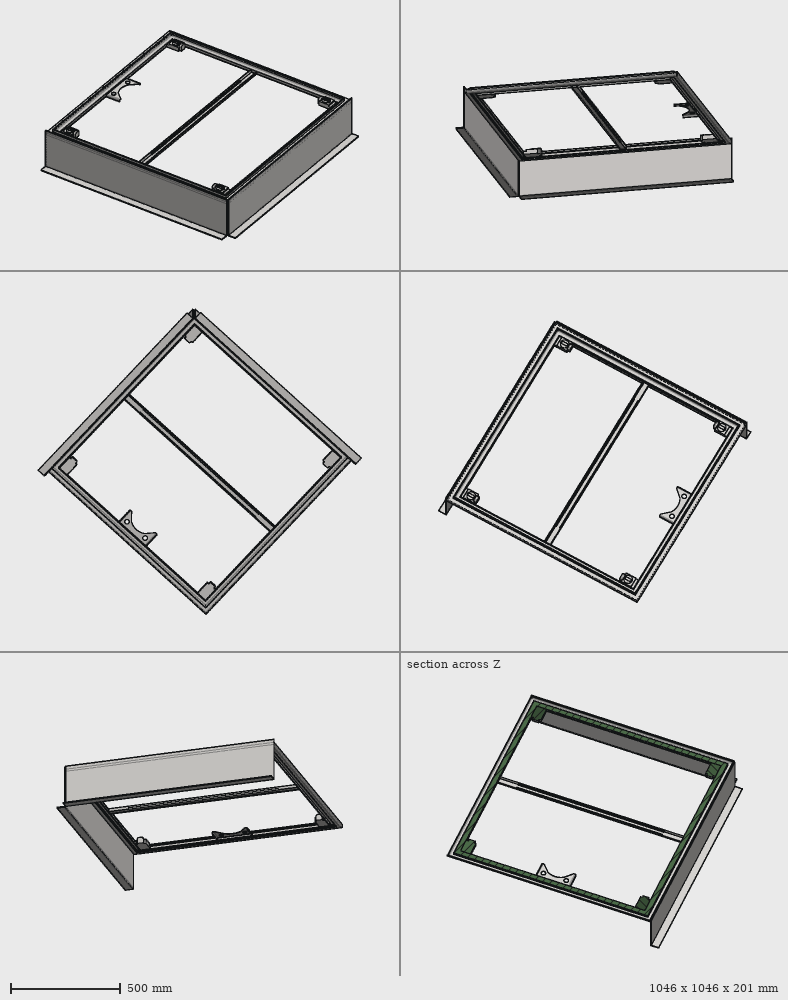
import cadquery as cq
overall = 1046.0
overall_height = 201.0
frame_side = 1006.0
thick_sheet = 5.0
medium_sheet = 4.0
thin_sheet = 3.0

frame_depth = 31.0
frame_width = 48.0
ledge_drop = 12.0
ledge_radius = 2.0
rib_offset = 22.0
rib_thickness = 5.0
strip_drop = 15.0
rib_foot_radius = 2.0
strip_edge_radius = 3.0
rim_bend = 7.0

skirt_length = 1003.0
skirt_bend = 5.0

bar_left = 481.0
bar_width = 36.0
bar_drop = 17.0
bar_flare = 3.0
bar_rib_length = 722.0
bar_rib_spacing = 17.0
bar_rib_drop = 6.0

latch_reach_x = 114.0
latch_reach_y = 96.0
latch_drop = 9.0
latch_shelf_end = 61.0
latch_shelf_drop = 17.0
latch_end_radius = 4.0
latch_disc_x = 89.0
latch_disc_radius = 20.0
latch_disc_height = 3.0
latch_grip_length = 29.0
latch_grip_width = 13.0
latch_grip_height = 3.0
tab_reach = 125.0
tab_width = 30.0
tab_drop = 2.0
tab_corner_radius = 9.0

bracket_length = 171.0
bracket_reach = 122.0
bracket_drop = 20.0
bracket_flange_height = 12.0
bracket_bend = 6.0
bracket_hole_diameter = 21.0
bracket_hole_x = 72.0
bracket_hole_spacing = 113.0
bracket_waist_x = 74.0
bracket_shoulder_x = 86.0
bracket_shoulder_y = 40.0
bracket_tip_y = 73.0

top = overall_height
frame_bottom = top - frame_depth
frame_middle = frame_side / 2
frame_centre = (frame_middle, frame_middle, 0)
flange_reach = overall - frame_side


def block(x_size, y_size, z_size, x_start, y_middle, z_start):
    """Box that starts at x_start and z_start and is centred on y_middle."""
    box = cq.Workplane("XY").box(x_size, y_size, z_size, centered=(False, True, False))
    return box.translate((x_start, y_middle, z_start))


def make_frame():
    """Sheet section with lipped rim, ledge, upright rib, strip and inner wall, swept round a square."""
    ledge = top - ledge_drop
    strip = top - strip_drop
    strip_underside = strip - medium_sheet
    rib_inside = rib_offset + rib_thickness
    wall_outside = frame_width - medium_sheet
    lip_top = frame_bottom + thick_sheet
    section = (
        cq.Workplane("XZ", origin=(0, frame_middle, 0))
        .moveTo(ledge_radius, ledge)
        .lineTo(rib_offset, ledge)
        .lineTo(rib_offset, top)
        .lineTo(rib_inside, top)
        .lineTo(rib_inside, strip + rib_foot_radius)
        .radiusArc((rib_inside + rib_foot_radius, strip), -rib_foot_radius)
        .lineTo(frame_width - strip_edge_radius, strip)
        .radiusArc((frame_width, strip - strip_edge_radius), strip_edge_radius)
        .lineTo(frame_width, frame_bottom)
        .lineTo(wall_outside, frame_bottom)
        .lineTo(wall_outside, strip_underside)
        .lineTo(rib_offset, strip_underside)
        .lineTo(rib_offset, ledge - thick_sheet)
        .lineTo(thick_sheet, ledge - thick_sheet)
        .lineTo(thick_sheet, frame_bottom + rim_bend)
        .radiusArc((rim_bend, lip_top), -(rim_bend - thick_sheet))
        .lineTo(rib_offset, lip_top)
        .lineTo(rib_offset, frame_bottom)
        .lineTo(rim_bend, frame_bottom)
        .radiusArc((0, frame_bottom + rim_bend), rim_bend)
        .lineTo(0, ledge - ledge_radius)
        .radiusArc((ledge_radius, ledge), ledge_radius)
        .close()
    )
    path = (
        cq.Workplane("XY", origin=(0, 0, frame_bottom))
        .moveTo(0, frame_middle)
        .lineTo(0, frame_side)
        .lineTo(frame_side, frame_side)
        .lineTo(frame_side, 0)
        .lineTo(0, 0)
        .close()
    )
    return section.sweep(path, transition="right")


def make_front_skirt():
    """Upright sheet along the -Y side of the frame, bent outwards into a flange at its foot."""
    return (
        cq.Workplane("YZ")
        .moveTo(0, top)
        .lineTo(0, skirt_bend)
        .radiusArc((-skirt_bend, 0), skirt_bend)
        .lineTo(-flange_reach, 0)
        .lineTo(-flange_reach, thick_sheet)
        .lineTo(-thick_sheet, thick_sheet)
        .lineTo(-thick_sheet, top)
        .close()
        .extrude(skirt_length)
    )


def make_right_skirt():
    """The same skirt turned onto the +X side, flush with the far (+Y) edge of the frame."""
    turned = make_front_skirt().rotate((0, 0, 0), (0, 0, 1), 90)
    return turned.translate((frame_side, frame_side - skirt_length, 0))


def make_cross_bar():
    """Trough between the inner walls: flared sides, and two floor ribs along the middle stretch."""
    bar_top = top - bar_drop
    floor = frame_bottom + thin_sheet
    middle_x = bar_left + bar_width / 2
    outer_half = bar_width / 2
    inner_half = outer_half - thin_sheet
    bar_length = frame_side - 2 * frame_width
    along_y = cq.Workplane("XZ", origin=(middle_x, frame_middle, 0))

    trough = (
        along_y.moveTo(-outer_half, bar_top)
        .lineTo(-inner_half, bar_top)
        .lineTo(bar_flare - inner_half, floor)
        .lineTo(inner_half - bar_flare, floor)
        .lineTo(inner_half, bar_top)
        .lineTo(outer_half, bar_top)
        .lineTo(outer_half - bar_flare, frame_bottom)
        .lineTo(bar_flare - outer_half, frame_bottom)
        .close()
        .extrude(bar_length / 2, both=True)
    )

    rib_top = bar_top - bar_rib_drop
    rib_inside = bar_rib_spacing / 2
    rib_outside = outer_half - bar_flare
    for side in (-1, 1):
        rib = (
            along_y.moveTo(side * rib_inside, frame_bottom)
            .lineTo(side * rib_inside, rib_top)
            .lineTo(side * rib_outside, rib_top)
            .lineTo(side * rib_outside, frame_bottom)
            .close()
            .extrude(bar_rib_length / 2, both=True)
        )
        trough = trough.union(rib)
    return trough


def make_latch():
    """Latch in the -X, -Y corner: case with a low shelf, disc with a grip, and an upright end tab."""
    case_length = latch_reach_x - latch_shelf_end
    shelf_length = latch_shelf_end - frame_width
    case_width = latch_reach_y - frame_width
    case_top = top - latch_drop
    middle_y = frame_width + case_width / 2

    case = block(
        case_length, case_width, frame_depth - latch_drop, latch_shelf_end, middle_y, frame_bottom
    )
    case = case.edges(">X and >Z").fillet(latch_end_radius)

    shelf = block(
        shelf_length, case_width, frame_depth - latch_shelf_drop, frame_width, middle_y, frame_bottom
    )

    disc = cq.Workplane("XY", origin=(latch_disc_x, middle_y, case_top))
    disc = disc.circle(latch_disc_radius).extrude(latch_disc_height)

    grip_left = latch_disc_x - latch_grip_length / 2
    grip = block(
        latch_grip_length,
        latch_grip_width,
        latch_grip_height,
        grip_left,
        middle_y,
        case_top + latch_disc_height,
    )

    tab_length = tab_reach - latch_reach_x + latch_end_radius
    tab_left = tab_reach - tab_length
    tab = block(tab_length, tab_width, frame_depth - tab_drop, tab_left, middle_y, frame_bottom)
    tab = tab.edges("|X and >Z").fillet(tab_corner_radius)
    return case.union(shelf).union(disc).union(grip).union(tab)


def make_latches():
    """One latch in each corner, mirrored about the middle of the frame."""
    front_left = make_latch()
    front_right = front_left.mirror("YZ", frame_centre)
    latches = []
    for front_latch in (front_left, front_right):
        latches.append(front_latch)
        latches.append(front_latch.mirror("XZ", frame_centre))
    return latches


def make_bracket():
    """Channel on the -X inner wall: waisted plate with two holes and a flange bent down at each end."""
    plate_top = top - bracket_drop
    flange_bottom = plate_top - bracket_flange_height
    inner_bend = bracket_bend - thin_sheet
    length = bracket_reach - frame_width

    channel = block(length, bracket_length, bracket_flange_height, frame_width, frame_middle, flange_bottom)
    channel = channel.edges("|X and >Z").fillet(bracket_bend)
    hollow = block(
        length,
        bracket_length - 2 * thin_sheet,
        bracket_flange_height - thin_sheet,
        frame_width,
        frame_middle,
        flange_bottom,
    )
    channel = channel.cut(hollow.edges("|X and >Z").fillet(inner_bend))

    waist = (
        cq.Workplane("XY", origin=(0, frame_middle, flange_bottom))
        .moveTo(bracket_reach, -bracket_tip_y)
        .lineTo(bracket_shoulder_x, -bracket_shoulder_y)
        .threePointArc((bracket_waist_x, 0), (bracket_shoulder_x, bracket_shoulder_y))
        .lineTo(bracket_reach, bracket_tip_y)
        .close()
        .extrude(bracket_flange_height)
    )
    holes = (
        cq.Workplane("XY", origin=(bracket_hole_x, frame_middle, flange_bottom))
        .rarray(10, bracket_hole_spacing, 1, 2)
        .circle(bracket_hole_diameter / 2)
        .extrude(bracket_flange_height)
    )
    return channel.cut(waist).cut(holes)


frame = make_frame()
front_skirt = make_front_skirt()
right_skirt = make_right_skirt()
cross_bar = make_cross_bar()
bracket = make_bracket()
latches = make_latches()

result = cq.Compound.makeCompound(
    [
        frame.val(),
        front_skirt.val(),
        right_skirt.val(),
        cross_bar.val(),
        bracket.val(),
        *[latch.val() for latch in latches],
    ]
)